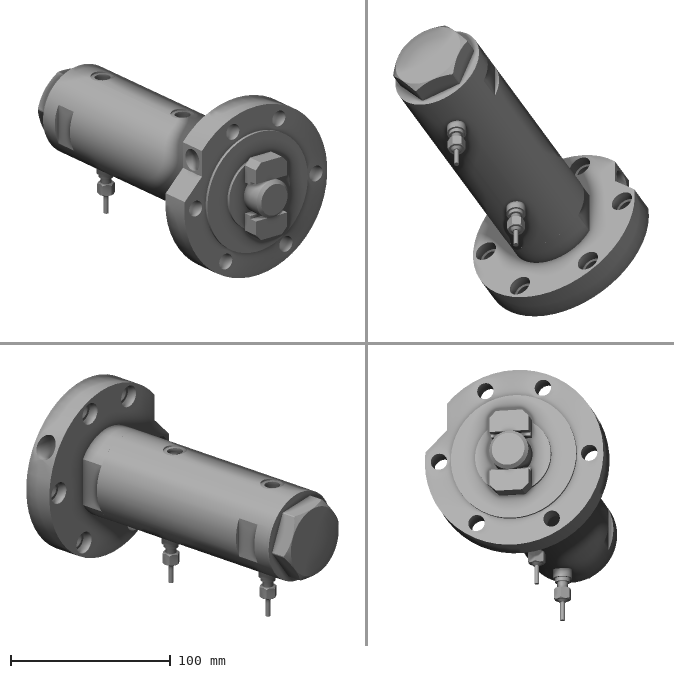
import cadquery as cq
import math


overall_height = 118.8

plug_collar_x = 12.5
housing_start = 14.5
housing_end = 155.0
flange_start = 170.5
flange_end = 189.7
register_end = 191.5
gland_pocket_start = 113.5
gland_start = 116.7
gland_end = 193.5
rod_start = 38.8
rod_end = 208.5

barrel_radius = 59.0 / 2
bore_radius = 20.0
gland_radius = 24.2
gland_seat_radius = 25.6
rod_radius = 12.5
flange_radius = 114.0 / 2
register_radius = 40.0

plug_hex_flats = 45.9
plug_hex_turn = 7.2
plug_corner_radius = 26.3
plug_face_radius = 22.7
plug_chamfer_length = 3.0
plug_spigot_radius = 18.3

wrench_flats_start = 24.4
wrench_flats_length = 15.2
wrench_flats_width = 53.0
port_xs = (35.2, 115.9)
port_radius = 5.0
port_seat_radius = 7.5
port_seat_z = 28.3

neck_flats_width = 50.0
notch_depth_y = 43.0
notch_corner_z = 20.2
cross_hole_radius = 7.0
cross_hole_z = 28.5
bolt_circle_radius = 48.0
bolt_angles = (0, 67.5, 112.5, 180, 240, 300)
bolt_radius = 5.2
bolt_head_radius = 7.0
bolt_head_depth = 6.7

rod_flats_width = 20.8
rod_flats_end = 200.0
rod_chamfer = 2.0
jaw_start = 194.5
jaw_end = 205.5
jaw_reach = 26.0
jaw_chamfer = 4.2

sensor_xs = (38.8, 119.2)
sensor_seat_z = -28.3
sensor_collar_radius = 6.0
sensor_collar_z = -34.5
sensor_step_radius = 4.8
sensor_step_z = -37.0
sensor_neck_radius = 3.3
sensor_hex_top = -41.0
sensor_hex_bottom = -48.5
sensor_hex_flats = 9.8
sensor_hex_chamfer = 0.8
sensor_cone_radius = 3.5
sensor_cone_tip_radius = 2.0
sensor_cone_z = -50.0
cable_radius = 1.5
cable_end_z = flange_radius - overall_height


def x_cylinder(radius, start, end):
    """Solid cylinder on the X axis between two stations."""
    return cq.Workplane("YZ", origin=(start, 0, 0)).circle(radius).extrude(end - start)


def z_cylinder(radius, x, bottom, top):
    """Solid vertical cylinder at station x."""
    return cq.Workplane("XY", origin=(x, 0, bottom)).circle(radius).extrude(top - bottom)


def block(x_range, y_range, z_range):
    """Axis-aligned box given by its limits."""
    sizes = [high - low for low, high in (x_range, y_range, z_range)]
    corner = (x_range[0], y_range[0], z_range[0])
    return cq.Workplane("XY").box(*sizes, centered=False).translate(corner)


def hex_corner_radius(across_flats):
    return across_flats / 2 / math.cos(math.radians(30))


def flat_cutters(start, end, across_flats, radius):
    """Two boxes that cut a pair of flats on the +Y and -Y sides of a cylinder."""
    inner = across_flats / 2
    height = (-radius, radius)
    near = block((start, end), (-radius, -inner), height)
    far = block((start, end), (inner, radius), height)
    return near.union(far)


def make_plug():
    """Hexagon-headed plug with a collar against the housing and a spigot in its bore."""
    corner = hex_corner_radius(plug_hex_flats)
    hexagon = (
        cq.Workplane("YZ")
        .polygon(6, 2 * corner)
        .extrude(plug_collar_x)
        .rotate((0, 0, 0), (1, 0, 0), -plug_hex_turn)
    )
    turned = (
        cq.Workplane("XY")
        .lineTo(0, plug_face_radius)
        .lineTo(plug_chamfer_length, plug_corner_radius)
        .lineTo(plug_collar_x, plug_corner_radius)
        .lineTo(plug_collar_x, 0)
        .close()
        .revolve(360, (0, 0, 0), (1, 0, 0))
    )
    collar = x_cylinder(barrel_radius, plug_collar_x, housing_start)
    spigot = x_cylinder(plug_spigot_radius, housing_start, rod_start)
    return hexagon.intersect(turned).union(collar).union(spigot)


def make_housing():
    """Barrel with a piston bore, a wider gland pocket, two wrench flats, two ports and two sensor seats."""
    housing = x_cylinder(barrel_radius, housing_start, housing_end)
    housing = housing.cut(x_cylinder(bore_radius, housing_start, gland_pocket_start))
    housing = housing.cut(x_cylinder(gland_seat_radius, gland_pocket_start, housing_end))
    flats_end = wrench_flats_start + wrench_flats_length
    housing = housing.cut(flat_cutters(wrench_flats_start, flats_end, wrench_flats_width, barrel_radius))
    for x in port_xs:
        housing = housing.cut(z_cylinder(port_seat_radius, x, port_seat_z, barrel_radius))
        housing = housing.cut(z_cylinder(port_radius, x, 0, barrel_radius))
    for x in sensor_xs:
        housing = housing.cut(z_cylinder(sensor_collar_radius, x, -barrel_radius, sensor_seat_z))
    return housing


def make_flange():
    """Round flange with a notch, a cross hole and counterbored bolt holes."""
    flange = x_cylinder(flange_radius, flange_start, flange_end)

    past_rim = flange_radius - notch_depth_y
    notch = (
        cq.Workplane("YZ", origin=(flange_start, 0, 0))
        .moveTo(-notch_depth_y, flange_radius)
        .lineTo(-notch_depth_y, notch_corner_z)
        .lineTo(-flange_radius, notch_corner_z - past_rim)
        .lineTo(-flange_radius, flange_radius)
        .close()
        .extrude(flange_end - flange_start)
    )
    flange = flange.cut(notch)

    cross_hole = (
        cq.Workplane("XZ", origin=((flange_start + flange_end) / 2, 0, cross_hole_z))
        .circle(cross_hole_radius)
        .extrude(flange_radius, both=True)
    )
    flange = flange.cut(cross_hole)

    for angle in bolt_angles:
        y = bolt_circle_radius * math.cos(math.radians(angle))
        z = bolt_circle_radius * math.sin(math.radians(angle))
        hole = x_cylinder(bolt_radius, flange_start, flange_end)
        counterbore = x_cylinder(bolt_head_radius, flange_start, flange_start + bolt_head_depth)
        flange = flange.cut(hole.union(counterbore).translate((0, y, z)))
    return flange


def make_head():
    """Flange with a flatted neck on the housing side and a locating register on the other."""
    neck = x_cylinder(barrel_radius, housing_end, flange_start)
    neck = neck.cut(flat_cutters(housing_end, flange_start, neck_flats_width, barrel_radius))
    register = x_cylinder(register_radius, flange_end, register_end)
    head = make_flange().union(neck).union(register)
    return head.cut(x_cylinder(gland_radius, housing_end, register_end))


def make_gland():
    """Bush that guides the rod inside the housing and the head."""
    seat = x_cylinder(gland_seat_radius, gland_start, housing_end)
    nose = x_cylinder(gland_radius, housing_end, gland_end)
    gland = seat.union(nose)
    return gland.cut(x_cylinder(rod_radius, gland_start, gland_end))


def make_rod():
    """Piston rod with a chamfered tip and two flats that take the jaws."""
    rod = x_cylinder(rod_radius, rod_start, rod_end).faces(">X").chamfer(rod_chamfer)
    cutters = flat_cutters(gland_end, rod_flats_end, rod_flats_width, rod_radius)
    return rod.cut(cutters.rotate((0, 0, 0), (1, 0, 0), 90))


def make_jaw(turn):
    """Jaw lying on one rod flat, relieved to clear the full rod beyond the flat."""
    jaw = block((jaw_start, jaw_end), (-rod_radius, rod_radius), (rod_flats_width / 2, jaw_reach))
    jaw = jaw.edges("|X and >Z").chamfer(jaw_chamfer)
    relief = block((rod_flats_end, jaw_end), (-rod_radius, rod_radius), (0, rod_radius))
    return jaw.cut(relief).rotate((0, 0, 0), (1, 0, 0), turn)


def make_sensor(x):
    """Sensor hanging below the housing: stepped fitting, hexagon, cone and cable."""
    corner = hex_corner_radius(sensor_hex_flats)
    hexagon = (
        cq.Workplane("XY", origin=(x, 0, sensor_hex_bottom))
        .polygon(6, 2 * corner)
        .extrude(sensor_hex_top - sensor_hex_bottom)
    )
    turned = z_cylinder(corner, x, sensor_hex_bottom, sensor_hex_top).edges().chamfer(sensor_hex_chamfer)
    cone = (
        cq.Workplane("XY", origin=(x, 0, sensor_hex_bottom))
        .circle(sensor_cone_radius)
        .workplane(offset=sensor_cone_z - sensor_hex_bottom)
        .circle(sensor_cone_tip_radius)
        .loft()
    )
    return (
        z_cylinder(sensor_collar_radius, x, sensor_collar_z, sensor_seat_z)
        .union(z_cylinder(sensor_step_radius, x, sensor_step_z, sensor_collar_z))
        .union(z_cylinder(sensor_neck_radius, x, sensor_hex_top, sensor_step_z))
        .union(hexagon.intersect(turned))
        .union(cone)
        .union(z_cylinder(cable_radius, x, cable_end_z, sensor_cone_z))
    )


plug = make_plug()
housing = make_housing()
head = make_head()
gland = make_gland()
rod = make_rod()
jaws = [make_jaw(turn) for turn in (0, 180)]
sensors = [make_sensor(x) for x in sensor_xs]

result = cq.Compound.makeCompound(
    [
        plug.val(),
        housing.val(),
        head.val(),
        gland.val(),
        rod.val(),
        *[jaw.val() for jaw in jaws],
        *[sensor.val() for sensor in sensors],
    ]
)